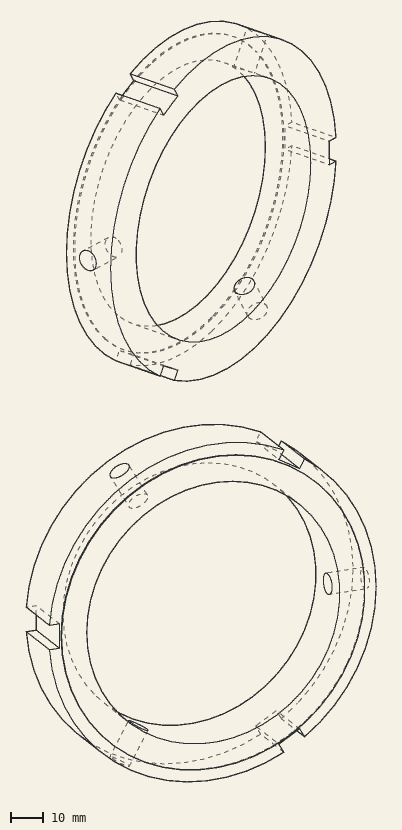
import cadquery as cq

outer_diameter = 110.0
bore_diameter = 85.0
total_width = 18.0

face_diameter = 102.0
face_height = 0.5

slot_count = 3
slot_width = 8.0
slot_depth = 3.5

hole_diameter = 6.65

outer_radius = outer_diameter / 2
slot_pitch = 360 / slot_count
body_width = total_width - face_height
hole_x = total_width / 2


def disc(diameter, start_x, width):
    """Cylinder along X, starting at start_x."""
    return cq.Workplane("YZ", origin=(start_x, 0, 0)).circle(diameter / 2).extrude(width)


def around_axis(shape, angle):
    """Turn a shape about the ring axis, from +Y towards +Z."""
    return shape.rotate((0, 0, 0), (1, 0, 0), angle)


def make_ring():
    body = disc(outer_diameter, face_height, body_width)
    raised_face = disc(face_diameter, 0, total_width)
    bore = disc(bore_diameter, 0, total_width)
    return body.union(raised_face).cut(bore)


def make_slot():
    """Flat-bottomed slot on +Y, running the full width of the ring."""
    floor_y = outer_radius - slot_depth
    plane = cq.Workplane("XY", origin=(0, floor_y, 0))
    return plane.box(total_width, 2 * slot_depth, slot_width, centered=(False, False, True))


def make_radial_hole():
    """Round hole on +Y, from the ring axis out through the rim."""
    plane = cq.Workplane("XZ", origin=(hole_x, 0, 0))
    return plane.circle(hole_diameter / 2).extrude(-outer_diameter)


result = make_ring()
for index in range(slot_count):
    slot_angle = index * slot_pitch
    hole_angle = slot_angle + slot_pitch / 2
    result = result.cut(around_axis(make_slot(), slot_angle))
    result = result.cut(around_axis(make_radial_hole(), hole_angle))